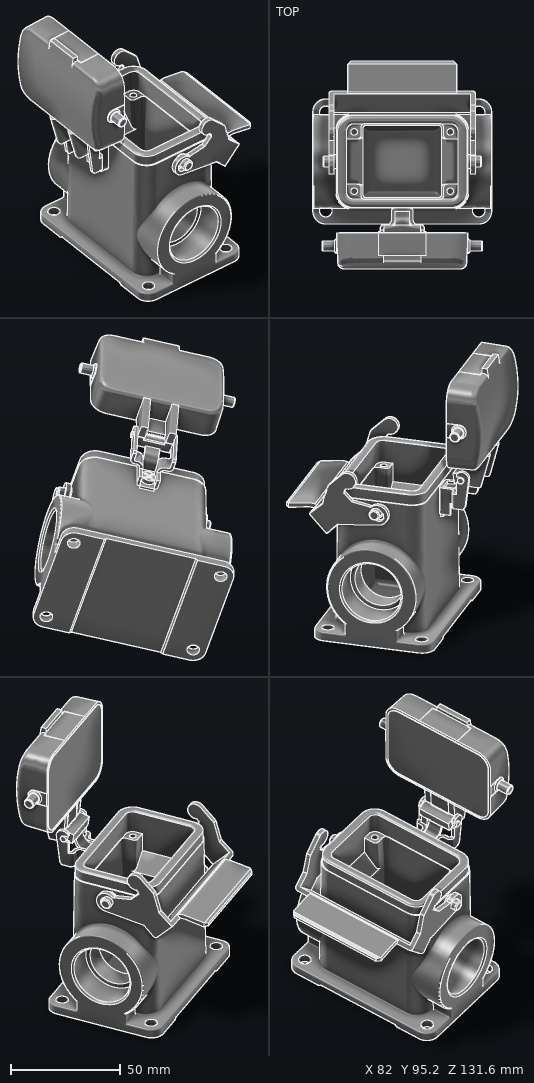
import cadquery as cq
import math

plate_length = 82.0
plate_depth = 57.4
plate_height = 4.3
plate_corner = 6.0
plate_edge_round = 0.8
foot_hole_diameter = 5.7
foot_hole_x = 35.0
foot_hole_y = 22.5
relief_length = 42.6
relief_height = 0.9

shell_bottom = (62.1, 44.3)
shell_corner = 8.2
shell_height = 68.3
shell_draft = 0.75
foot_round = 0.7
joint_round = 0.5
rim_size = (59.2, 42.2)
rim_corner = 7.4
rim_top = 74.2
rim_crown = 0.9
opening_size = (51.0, 34.5)
opening_corner = 3.4
post_top = 62.5
floor_height = 4.0
well_size = (35.8, 32.9)
well_corner = 1.0
well_throat = 45.7
well_draft = 3.5
well_floor_round = 3.3
pocket_width = 20.8
pocket_outer_depth = 9.2
pocket_bottom = 46.0
post_round = 1.6
post_hole_diameter = 3.0
post_hole_depth = 10.5
post_hole_x = 22.0
post_hole_y = 13.5

entry_height = 27.1
entry_diameter = 42.9
entry_edge_round = 0.7
entry_bore = 24.0
entry_counterbore = 28.3
entry_mouth = 30.1
counterbore_depth = 13.7
neck_width = 25.0

pivot_height = 63.8
pivot_diameter = 5.0
pivot_reach = 36.3
pivot_chamfer = 0.5
collar_diameter = 6.5

lever_width = 67.1
lever_sheet = 2.2
lever_inner = lever_width / 2 - lever_sheet
lever_bend = 1.8
eye_y = -0.9
eye_z = 62.9
eye_radius = 4.9
eye_slot_end = (-1.3, 62.5)
hook_y = 13.7
hook_z = 78.0
hook_radius = 4.0
bail_top = (32.4, 58.7)
bail_bottom = (24.1, 49.9)
handle_width = 50.0
handle_tip_y = 46.0
handle_corner = 1.6

bracket_face_y = -22.9
channel_width = 10.0
channel_sheet = 1.6
channel_bend = 1.5
channel_top = 67.4
channel_bottom = 54.2
channel_end_y = -26.7
tongue_bottom = 52.4
flare_y = -28.7
cheek_inner = 8.5
cheek_outer = 10.1
cheek_back_y = -31.3
cheek_bottom = 60.1
hinge_y = -33.4
hinge_z = 74.7
hinge_slot = 3.0
hinge_diameter = 2.9
hinge_reach = 10.8
screw_z = 57.8
screw_diameter = 6.5
screw_face_y = -25.3
screw_slot = (4.7, 0.9)
screw_slot_depth = 0.8
spring_width = 6.8
spring_sheet = 1.2
spring_bend = 5.5
spring_bend_center = (-24.6, 71.6)

cover_size = (60.0, 42.6)
cover_corner = 7.6
cover_z = 108.2
cover_back_y = -32.6
cover_edge_y = -45.5
cover_crown_y = -49.2
cover_draft = 2.0
cover_edge_round = 2.8
gasket_inset = 1.3
gasket_proud = 0.3
panel_width = 21.8
panel_end_y = -43.0
lug_width = 17.1
lug_front_y = -45.5
lug_top = 131.6
lug_foot_y = -46.3
lug_drop = 2.4
cover_pin_y = -38.7
cover_pin_diameter = 4.7
cover_pin_reach = 36.7
cover_pin_chamfer = 0.4
pad_diameter = 7.0
pad_reach = 30.1
pad_cone_height = 0.8
pad_cone_tip = 5.5
arm_outer = 8.4
arm_inner = 5.0
arm_edge_round = 0.9
knuckle_top = 77.4
knuckle_bottom = 72.1
knuckle_front_y = -36.0
knuckle_relief_y = -33.8
web_front_y = -35.5
web_back_y = -34.0

embed = 1.3


def prism(size, corner, bottom, top):
    """Upright block with rounded vertical edges."""
    block = cq.Workplane("XY").workplane(offset=bottom).rect(*size).extrude(top - bottom)
    return block.edges("|Z").fillet(corner)


def box(x_range, y_range, z_range):
    """Axis-aligned block from its limits."""
    low, high = zip(x_range, y_range, z_range)
    span = [b - a for a, b in zip(low, high)]
    return cq.Workplane("XY").box(*span, centered=False).translate(low)


def rod(diameter, x_range, y, z):
    """Round bar along X."""
    start, end = x_range
    return cq.Workplane("YZ", origin=(start, y, z)).circle(diameter / 2).extrude(end - start)


def side_plate(points, x_range):
    """Plate along X from a polygon of (y, z) points."""
    start, end = x_range
    return cq.Workplane("YZ", origin=(start, 0, 0)).polyline(points).close().extrude(end - start)


def cone(x_range, diameters, y, z):
    """Cone along X, from the first diameter to the second."""
    start, end = x_range
    base = cq.Vector(start, y, z)
    frustum = cq.Solid.makeCone(diameters[0] / 2, diameters[1] / 2, end - start, base, cq.Vector(1, 0, 0))
    return cq.Workplane("XY").newObject([frustum])


def both_sides(shape):
    """The shape joined with its mirror image across the plane x = 0."""
    return shape.union(shape.mirror("YZ"))


def foot_plate():
    plate = prism((plate_length, plate_depth), plate_corner, 0, plate_height)
    return plate.faces(">Z").edges().fillet(plate_edge_round)


def shell():
    outline = cq.Workplane("XY").sketch().rect(*shell_bottom).vertices().fillet(shell_corner).finalize()
    return outline.extrude(shell_height, taper=shell_draft)


def crowned_rim():
    """Rim above the shell, with an arched top running around the opening."""
    shoulder = rim_top - rim_crown
    rim = prism(rim_size, rim_corner, shell_height, shoulder)
    wall_x = (rim_size[0] - opening_size[0]) / 2
    path_size = [side - wall_x for side in rim_size]
    path_corner = rim_corner - wall_x / 2
    path_block = prism(path_size, path_corner, shoulder - 1.3, shoulder)
    path = path_block.faces(">Z").wires()
    half = wall_x / 2
    edge_y = path_size[1] / 2
    profile = (
        cq.Workplane("YZ", origin=(0, 0, shoulder))
        .moveTo(edge_y - half, 0)
        .threePointArc((edge_y, rim_crown), (edge_y + half, 0))
        .close()
    )
    return rim.union(profile.sweep(path))


def cable_entries():
    half = plate_length / 2
    boss = rod(entry_diameter, (-half, half), 0, entry_height)
    neck = box((-half, half), (-neck_width / 2, neck_width / 2), (0, entry_height))
    return boss.union(neck)


def outer_body():
    """Shell, cable entries and foot plate with their rounded joints, before the cavity is cut."""
    body = shell().union(cable_entries())
    body = body.edges("%BSPLINE or %ELLIPSE").fillet(joint_round)
    body = body.faces("<X or >X").edges("not <Z").fillet(entry_edge_round)
    body = body.union(foot_plate())
    reach_x = shell_bottom[0] / 2 + joint_round
    reach_y = shell_bottom[1] / 2 + joint_round
    margin = 0.1
    foot = cq.selectors.BoxSelector(
        (-reach_x, -reach_y, plate_height - margin),
        (reach_x, reach_y, plate_height + margin),
        boundingbox=True,
    )
    neck_middle = (shell_bottom[0] + plate_length) / 4
    for x in (-neck_middle, neck_middle):
        for y in (-neck_width / 2, neck_width / 2):
            foot = foot + cq.selectors.NearestToPointSelector((x, y, plate_height))
    return body.edges(foot).fillet(foot_round)


def entry_bores():
    half = plate_length / 2
    step = half - counterbore_depth
    chamfer = (entry_mouth - entry_counterbore) / 2
    bore = rod(entry_bore, (-half, half), 0, entry_height)
    wide = rod(entry_counterbore, (step, half), 0, entry_height)
    mouth = cone((half - chamfer, half), (entry_counterbore, entry_mouth), 0, entry_height)
    return bore.union(both_sides(wide.union(mouth)))


def cavity():
    """Opening, corner-post level with sloped side pockets, and the deep well below them."""
    top = prism(opening_size, opening_corner, post_top, rim_top)
    well = prism(well_size, well_corner, floor_height, well_throat)
    well = well.faces("<Z").edges().fillet(well_floor_round)
    flared = cq.Workplane("XY").workplane(offset=well_throat).sketch()
    flared = flared.rect(*well_size).vertices().fillet(well_corner).finalize()
    flared = flared.extrude(post_top - well_throat, taper=-well_draft)
    inner_x = well_size[0] / 2
    outer_x = opening_size[0] / 2
    half = pocket_width / 2
    pocket = (
        cq.Workplane("XZ", origin=(0, half, 0))
        .polyline([
            (0, post_top),
            (outer_x, post_top),
            (outer_x, post_top - pocket_outer_depth),
            (inner_x, pocket_bottom),
            (0, pocket_bottom),
        ])
        .close()
        .extrude(pocket_width)
    )
    flared = flared.union(both_sides(pocket))
    post_middle = (post_top + well_throat) / 2
    middle_x = inner_x + (post_middle - well_throat) * math.tan(math.radians(well_draft))
    for x in (-middle_x, middle_x):
        for y in (-half, half):
            corner = cq.selectors.NearestToPointSelector((x, y, post_middle))
            flared = flared.edges(corner).fillet(post_round)
    return top.union(well).union(flared)


def post_holes():
    spots = cq.Workplane("XY").workplane(offset=post_top - post_hole_depth)
    spots = spots.rect(2 * post_hole_x, 2 * post_hole_y, forConstruction=True).vertices()
    return spots.circle(post_hole_diameter / 2).extrude(post_hole_depth)


def foot_holes():
    spots = cq.Workplane("XY").rect(2 * foot_hole_x, 2 * foot_hole_y, forConstruction=True).vertices()
    return spots.circle(foot_hole_diameter / 2).extrude(plate_height)


def foot_relief():
    half = relief_length / 2
    outline = [
        (-half - relief_height, 0),
        (half + relief_height, 0),
        (half, relief_height),
        (-half, relief_height),
    ]
    return cq.Workplane("XZ").polyline(outline).close().extrude(plate_depth, both=True)


def lever_pivots():
    wall = rim_size[0] / 2 - embed
    pin = rod(pivot_diameter, (wall, pivot_reach), 0, pivot_height).faces(">X").chamfer(pivot_chamfer)
    collar = rod(collar_diameter, (wall, lever_inner), 0, pivot_height)
    return both_sides(pin.union(collar))


def hinge_cheeks():
    """Pair of plates with slots, open at the back, for the hinge pin."""
    span = (cheek_inner, cheek_outer)
    cheek = (
        cq.Workplane("YZ", origin=(cheek_inner, 0, 0))
        .moveTo(cheek_back_y, cheek_bottom)
        .lineTo(-34.5, cheek_bottom)
        .lineTo(-35.4, 61.3)
        .lineTo(-37.2, 75.8)
        .threePointArc((-34.2, 78.8), (cheek_back_y, 77.4))
        .close()
        .extrude(cheek_outer - cheek_inner)
    )
    half = hinge_slot / 2
    slot = box(span, (hinge_y, cheek_back_y), (hinge_z - half, hinge_z + half))
    return both_sides(cheek.cut(slot).cut(rod(hinge_slot, span, hinge_y, hinge_z)))


def hinge_bracket():
    """Sheet channel on the front wall whose sides flare out to the hinge cheeks."""
    half = channel_width / 2
    root_y = bracket_face_y + channel_sheet + embed
    wall_y = bracket_face_y + channel_sheet
    inner = half - channel_sheet
    channel = box((-half, half), (channel_end_y, wall_y), (channel_bottom, channel_top))
    channel = channel.edges("|Z and >Y").fillet(channel_bend)
    gap = box((-inner, inner), (channel_end_y, bracket_face_y), (channel_bottom, channel_top))
    channel = channel.cut(gap)
    tongue_x = spring_width / 2
    tongue = box((-tongue_x, tongue_x), (bracket_face_y, root_y), (tongue_bottom, channel_top))
    flare = (
        cq.Workplane("XY", origin=(0, 0, cheek_bottom))
        .moveTo(half, channel_end_y)
        .threePointArc((5.5, -28.2), (6.5, flare_y))
        .lineTo(8.4, flare_y)
        .threePointArc((9.6, -29.3), (cheek_outer, cheek_back_y))
        .lineTo(cheek_inner, cheek_back_y)
        .threePointArc((8.3, -30.5), (7.8, flare_y - channel_sheet))
        .lineTo(6.5, flare_y - channel_sheet)
        .threePointArc((4.5, -29.3), (inner, channel_end_y))
        .close()
        .extrude(channel_top - cheek_bottom)
    )
    return channel.union(tongue).union(both_sides(flare)).union(hinge_cheeks())


def spring_tongue():
    """Strip that leaves the bracket base and curls up below the hinge."""
    half = spring_width / 2
    bend_y, bend_z = spring_bend_center
    inner = spring_bend
    outer = spring_bend + spring_sheet
    diagonal = math.sqrt(0.5)
    strip = (
        cq.Workplane("YZ", origin=(-half, 0, 0))
        .moveTo(bracket_face_y, bend_z - inner)
        .lineTo(bend_y, bend_z - inner)
        .threePointArc((bend_y - inner * diagonal, bend_z - inner * diagonal), (bend_y - inner, bend_z))
        .lineTo(bend_y - outer, bend_z)
        .threePointArc((bend_y - outer * diagonal, bend_z - outer * diagonal), (bend_y, bend_z - outer))
        .lineTo(bracket_face_y, bend_z - outer)
        .close()
    )
    return strip.extrude(spring_width)


def bracket_screw():
    head = cq.Workplane("XZ", origin=(0, bracket_face_y, screw_z)).circle(screw_diameter / 2)
    head = head.extrude(bracket_face_y - screw_face_y)
    slots = cq.Workplane("XZ", origin=(0, screw_face_y + screw_slot_depth, screw_z))
    for angle in (45, 135):
        bar = slots.transformed(rotate=(0, 0, angle)).rect(*screw_slot).extrude(screw_slot_depth)
        head = head.cut(bar)
    return head


def make_housing():
    body = outer_body().union(crowned_rim())
    body = body.cut(cavity()).cut(entry_bores()).cut(post_holes())
    body = body.cut(foot_holes()).cut(foot_relief())
    body = body.union(lever_pivots())
    return body.union(hinge_bracket()).union(spring_tongue()).union(bracket_screw())


def lever_blank():
    """Full-width block with the side outline of the lever."""
    half = lever_width / 2
    span = (-half, half)
    arm = side_plate(
        [
            (hook_y + hook_radius * math.sqrt(0.5), hook_z + hook_radius * math.sqrt(0.5)),
            (23.0, 74.5),
            (25.8, 64.9),
            (31.0, 60.1),
            bail_top,
            bail_bottom,
            (18.2, 55.8),
            (eye_y, eye_z - eye_radius),
            (eye_y, eye_z),
            (2.9, 66.6),
            (11.5, 68.0),
            (15.4, 72.0),
            (15.3, 73.0),
            (14.5, 74.0),
            (hook_y, hook_z - hook_radius),
        ],
        span,
    )
    hook = rod(2 * hook_radius, span, hook_y, hook_z)
    eye = rod(2 * eye_radius, span, eye_y, eye_z)
    return arm.union(hook).union(eye)


def lever_hollow():
    """Space between the side arms, ending one sheet thickness short of the bail."""
    run = bail_top[0] - bail_bottom[0]
    rise = bail_top[1] - bail_bottom[1]
    inward = cq.Vector(0, -rise, run).normalized()
    face = cq.Plane(
        origin=(0, *bail_bottom),
        xDir=(1, 0, 0),
        normal=inward.toTuple(),
    )
    hollow = cq.Workplane(face).workplane(offset=lever_sheet).rect(2 * lever_inner, 2 * lever_width)
    return hollow.extrude(lever_width)


def lever_handle():
    half = handle_width / 2
    handle = side_plate(
        [
            (31.0, 60.1),
            (31.8, 60.7),
            (34.1, 60.9),
            (44.7, 59.5),
            (handle_tip_y, 58.8),
            (handle_tip_y, 57.4),
            (44.2, 57.2),
            (34.7, 58.8),
            bail_top,
        ],
        (-half, half),
    )
    return handle.faces(">Y").edges("|Z").chamfer(handle_corner)


def eye_slot(span):
    """Slot that lets the eye shift on its pivot pin."""
    end_y, end_z = eye_slot_end
    shift = math.hypot(end_y, pivot_height - end_z)
    angle = math.degrees(math.atan2(pivot_height - end_z, -end_y))
    middle = (span[0], end_y / 2, (pivot_height + end_z) / 2)
    slot = cq.Workplane("YZ", origin=middle).slot2D(shift + pivot_diameter, pivot_diameter, angle)
    return slot.extrude(span[1] - span[0])


def make_lever():
    blank = lever_blank()
    middle_y = (bail_top[0] + bail_bottom[0]) / 2
    middle_z = (bail_top[1] + bail_bottom[1]) / 2
    half = lever_width / 2
    for x in (-half, half):
        bend = cq.selectors.NearestToPointSelector((x, middle_y, middle_z))
        blank = blank.edges(bend).fillet(lever_bend)
    lever = blank.cut(lever_hollow()).union(lever_handle())
    return lever.cut(eye_slot((-half, half)))


def cover_shell():
    outline = cq.Workplane("XZ", origin=(0, cover_back_y, cover_z)).sketch()
    outline = outline.rect(*cover_size).vertices().fillet(cover_corner).finalize()
    block = outline.extrude(cover_back_y - cover_crown_y, taper=cover_draft)
    half = cover_size[1] / 2
    crown = (
        cq.Workplane("YZ", origin=(-cover_size[0] / 2, 0, cover_z))
        .moveTo(cover_back_y, -half)
        .lineTo(cover_edge_y, -half)
        .threePointArc((cover_crown_y, 0), (cover_edge_y, half))
        .lineTo(cover_back_y, half)
        .close()
        .extrude(cover_size[0])
    )
    return block.intersect(crown).faces("<Y").edges().fillet(cover_edge_round)


def gasket():
    size = [side - 2 * gasket_inset for side in cover_size]
    face = cq.Workplane("XZ", origin=(0, cover_back_y + gasket_proud, cover_z)).sketch()
    return face.rect(*size).vertices().fillet(cover_corner - gasket_inset).finalize().extrude(gasket_proud)


def top_lug():
    """Straight-sided panel on the drafted top, ending in a raised lug."""
    top = cover_z + cover_size[1] / 2
    panel = box((-panel_width / 2, panel_width / 2), (panel_end_y, cover_back_y), (top - lug_drop, top))
    lug = side_plate(
        [
            (panel_end_y, lug_top),
            (lug_front_y, lug_top),
            (lug_foot_y, top - lug_drop),
            (panel_end_y, top - lug_drop),
        ],
        (-lug_width / 2, lug_width / 2),
    )
    return panel.union(lug)


def cover_pins():
    root = cover_size[0] / 2 - embed
    radius = pad_diameter / 2
    pad = rod(pad_diameter, (root, pad_reach), cover_pin_y, cover_z)
    pad_z = (cover_z - radius, cover_z + radius)
    pad = pad.union(box((root, pad_reach), (cover_pin_y, cover_back_y), pad_z))
    cone_span = (pad_reach, pad_reach + pad_cone_height)
    collar = cone(cone_span, (pad_diameter, pad_cone_tip), cover_pin_y, cover_z)
    pin = rod(cover_pin_diameter, (root, cover_pin_reach), cover_pin_y, cover_z)
    pin = pin.faces(">X").chamfer(cover_pin_chamfer)
    return both_sides(pad.union(collar).union(pin))


def hinge_arms():
    root_z = cover_z - cover_size[1] / 2 + embed
    front_top = (-46.2, 87.4)
    front_bottom = (-42.0, 71.3)
    arm = side_plate(
        [
            (-33.2, root_z),
            (-45.4, root_z),
            front_top,
            front_bottom,
            (-35.5, 71.6),
            (-34.0, 79.0),
        ],
        (arm_inner, arm_outer),
    )
    middle = [(a + b) / 2 for a, b in zip(front_top, front_bottom)]
    for x in (arm_inner, arm_outer):
        edge = cq.selectors.NearestToPointSelector((x, *middle))
        arm = arm.edges(edge).fillet(arm_edge_round)
    return both_sides(arm)


def hinge_knuckle():
    """Web between the arms and the knuckle around the hinge pin."""
    root_z = cover_z - cover_size[1] / 2 + embed
    web = box((-arm_inner, arm_inner), (web_front_y, web_back_y), (knuckle_top, root_z))
    knuckle = side_plate(
        [
            (-29.1, 77.0),
            (-31.6, 77.5),
            (-34.0, 77.9),
            (knuckle_front_y, 77.1),
            (knuckle_front_y, knuckle_bottom),
            (-29.9, knuckle_bottom),
        ],
        (-arm_outer, arm_outer),
    )
    relief = box(
        (-arm_inner, arm_inner),
        (knuckle_front_y, knuckle_relief_y),
        (knuckle_bottom, knuckle_top),
    )
    knuckle = knuckle.cut(relief)
    return web.union(knuckle).union(rod(hinge_diameter, (-hinge_reach, hinge_reach), hinge_y, hinge_z))


def make_cover():
    cover = cover_shell().union(gasket()).union(top_lug()).union(cover_pins())
    return cover.union(hinge_arms()).union(hinge_knuckle())


housing = make_housing()
lever = make_lever()
cover = make_cover()
result = cq.Compound.makeCompound([body.solids().val() for body in (housing, lever, cover)])